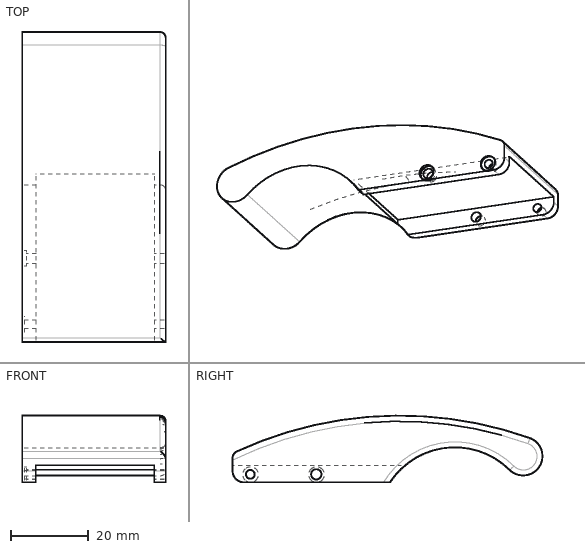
import math

import cadquery as cq

width = 37.0
length = 79.9
height = 17.26

top_radius = 100.0
top_center_y = 43.1
top_center_z = height - top_radius

tail_radius = 5.0
tail_center_y = length - tail_radius

arch_radius = 20.0
arch_center_y = 57.3

nose_top_radius = 2.0
nose_bottom_radius = 3.0
side_fillet_radius = 1.5

left_cheek = 3.5
right_cheek = 3.0
pocket_height = 4.5
pocket_end_y = 43.3

pin_holes = [(4.6, 2.2, 0.5), (21.6, 2.6, 1.0)]
pin_height = 2.1
counterbore_diameter = 4.0


def leg(hypotenuse, other_leg):
    """Remaining leg of a right triangle."""
    return math.sqrt(hypotenuse**2 - other_leg**2)


def point_towards(start, target, distance):
    """Point at a distance from start along the line to target."""
    span = math.dist(start, target)
    return tuple(s + (t - s) * distance / span for s, t in zip(start, target))


def make_body():
    """Extrude the side outline from its tangent arcs, with a square nose."""
    top_center = (top_center_y, top_center_z)
    tail_center_z = top_center_z + leg(top_radius - tail_radius, tail_center_y - top_center_y)
    tail_center = (tail_center_y, tail_center_z)
    arch_center_z = tail_center_z - leg(tail_radius + arch_radius, tail_center_y - arch_center_y)
    arch_center = (arch_center_y, arch_center_z)

    nose_top = (0, top_center_z + leg(top_radius, top_center_y))
    crown = (top_center_y, height)
    top_to_tail = point_towards(top_center, tail_center, top_radius)
    tail_tip = (length, tail_center_z)
    tail_to_arch = point_towards(tail_center, arch_center, tail_radius)
    arch_apex = (arch_center_y, arch_center_z + arch_radius)
    arch_foot = (arch_center_y - leg(arch_radius, arch_center_z), 0)

    return (
        cq.Workplane("YZ")
        .moveTo(0, 0)
        .lineTo(*nose_top)
        .threePointArc(crown, top_to_tail)
        .threePointArc(tail_tip, tail_to_arch)
        .threePointArc(arch_apex, arch_foot)
        .close()
        .extrude(width)
    )


def round_side(body):
    """Round the +X edge of the dome; the fillet runs on along the tangent tail and arch."""
    return body.faces(">X").edges(">Z").fillet(side_fillet_radius)


def round_nose(body):
    """Trim the nose to a rounded outline that runs straight across the width."""
    nose = make_body()
    nose = nose.faces("<Y").edges(">Z").fillet(nose_top_radius)
    nose = nose.faces("<Y").edges("<Z").fillet(nose_bottom_radius)
    return body.intersect(nose)


def make_pocket():
    """Flat-topped box between the cheeks."""
    pocket_width = width - left_cheek - right_cheek
    pocket = cq.Workplane("XY").box(pocket_width, pocket_end_y, pocket_height, centered=False)
    return pocket.translate((left_cheek, 0, 0))


def make_pin_hole(distance, diameter, counterbore_depth):
    """Hole through both cheeks, counterbored from the -X side."""
    plane = cq.Workplane("YZ").center(distance, pin_height)
    hole = plane.circle(diameter / 2).extrude(width)
    counterbore = plane.circle(counterbore_diameter / 2).extrude(counterbore_depth)
    return hole.union(counterbore)


result = round_nose(round_side(make_body()))
result = result.cut(make_pocket())
for pin_hole in pin_holes:
    result = result.cut(make_pin_hole(*pin_hole))